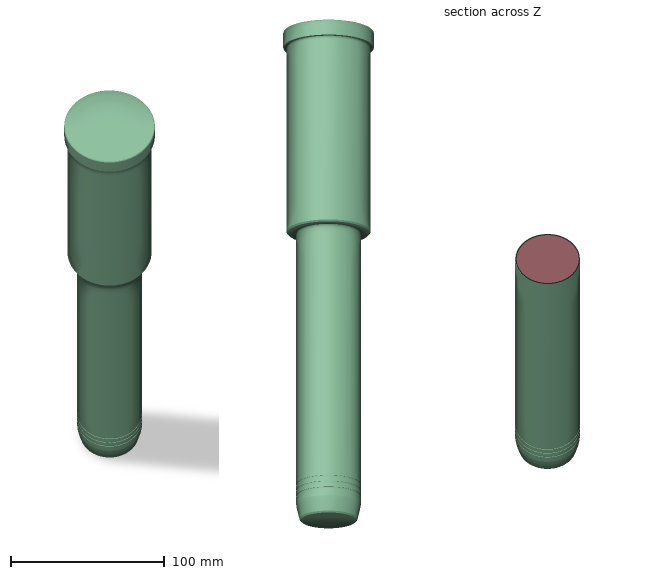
import cadquery as cq

total_length = 331.0
head_diameter = 59.0
head_height = 10.3
body_diameter = 54.5
body_length = 125.8
shank_diameter = 42.0

head_chamfer = 0.5
body_chamfer = 1.0
relief_width = 1.0
relief_depth = 0.3

nose_height = 11.0
nose_diameter = 37.7
nose_bulge = 0.25
tip_chamfer = 1.0

groove_count = 3
groove_pitch = 4.0
groove_width = 1.0
groove_depth = 0.3
lowest_groove_height = 15.5

head_bottom = total_length - head_height
body_bottom = head_bottom - body_length


def cylinder(diameter, bottom, top):
    """Solid cylinder on the Z axis between two heights."""
    return cq.Workplane("XY").workplane(offset=bottom).circle(diameter / 2).extrude(top - bottom)


def ring_cutter(diameter, depth, bottom, width):
    """Ring that cuts a groove of the given depth into a cylinder."""
    outer = cylinder(diameter, bottom, bottom + width)
    return outer.cut(cylinder(diameter - 2 * depth, bottom, bottom + width))


def make_nose():
    """Convex lead-in narrowing towards a chamfered tip."""
    shank_radius = shank_diameter / 2
    nose_radius = nose_diameter / 2
    middle_radius = (shank_radius + nose_radius) / 2 + nose_bulge
    middle_height = (nose_height + tip_chamfer) / 2
    profile = (
        cq.Workplane("XZ")
        .moveTo(0, 0)
        .lineTo(nose_radius - tip_chamfer, 0)
        .lineTo(nose_radius, tip_chamfer)
        .threePointArc((middle_radius, middle_height), (shank_radius, nose_height))
        .lineTo(0, nose_height)
        .close()
    )
    return profile.revolve(360, (0, 0, 0), (0, 1, 0))


head = cylinder(head_diameter, head_bottom, total_length).faces(">Z").edges().chamfer(head_chamfer)
body = cylinder(body_diameter, body_bottom, head_bottom).faces("<Z").edges().chamfer(body_chamfer)
shank = cylinder(shank_diameter, nose_height, body_bottom)
result = make_nose().union(shank).union(body).union(head)

for diameter, shoulder in ((body_diameter, head_bottom), (shank_diameter, body_bottom)):
    result = result.cut(ring_cutter(diameter, relief_depth, shoulder - relief_width, relief_width))

for index in range(groove_count):
    groove_bottom = lowest_groove_height + index * groove_pitch
    result = result.cut(ring_cutter(shank_diameter, groove_depth, groove_bottom, groove_width))